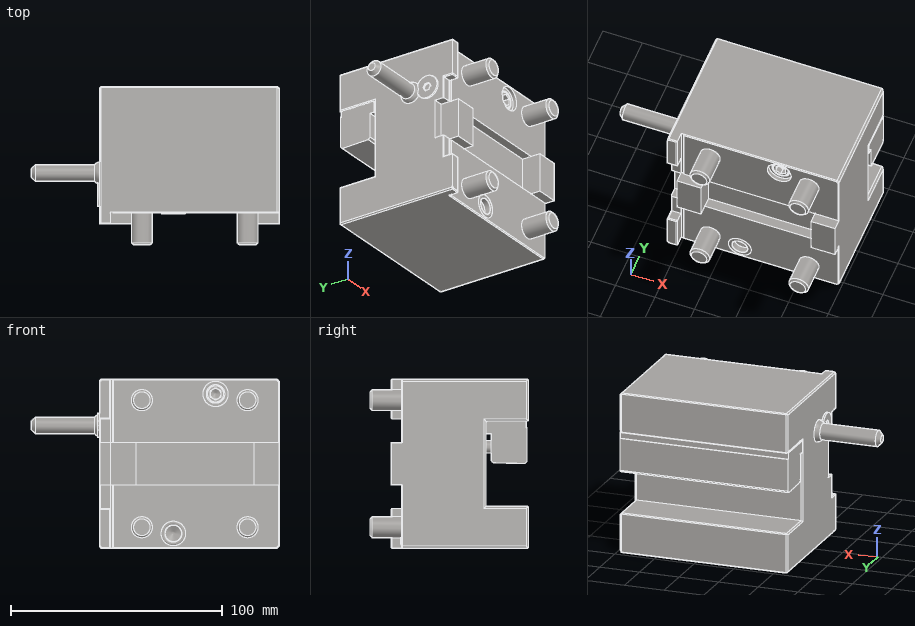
import cadquery as cq
import math


total_length = 117.3
body_length = 85.0
body_height = 80.0
body_depth = 65.0
plate_thick = 5.0
plate_step = 5.0
notch_height = 42.2
edge_break = 0.5
plate_chamfer = 0.7
end_chamfer = 1.0
relief_width = 1.0

key_width = 20.0
key_depth = 10.0
key_length = 12.1

slot_depth = 20.1
slot_height = 40.1
rail_rear_gap = 0.7
rail_floor_gap = 2.3
rail_top = slot_height / 2
rail_lip_height = 6.0
rail_rear_step = 0.4
rail_step_height = 3.0
rail_taper = 0.4
rail_corner = 1.0
stud_diameter = 6.0
stud_z = 8.0

pin_diameter = 10.0
pin_reach = 10.0
pin_chamfer = 1.0
pin_first_x = 20.0
pin_spacing_x = 50.0
pin_z = 30.0

shaft_diameter = 8.0
shaft_length = total_length - body_length
shaft_y = 24.0
shaft_z = 18.1
shaft_chamfer = 2.0
collar_diameter = 10.8
collar_length = 2.3
collar_bulge = 0.6
plug_diameter = 11.6
plug_y = 14.1
plug_thick = 0.9
plug_hex = 3.6
plug_hex_depth = 0.8

port_diameter = 12.0
port_z = 33.0
screw_x = 54.8
screw_recess = 2.0
screw_diameter = 8.8
screw_gap = 0.6
screw_gap_depth = 1.0
screw_hex = 5.0
screw_hex_depth = 3.0
screw_cone_depth = 1.4
seal_x = 34.8
seal_section = 1.0
seal_proud = 0.5
seal_hole_depth = 3.0
seal_cone_depth = 2.1

overlap = 1.2

full_turn = 360
hex_sides = 6
hex_turn = full_turn / hex_sides / 2
hex_corner_ratio = 2 / math.sqrt(3)


def block(x0, x1, y0, y1, z0, z1):
    size = (x1 - x0, y1 - y0, z1 - z0)
    return cq.Workplane("XY").box(*size, centered=False).translate((x0, y0, z0))


def rod_along_y(x, z, y0, y1, diameter):
    start = cq.Workplane("XZ", origin=(x, y0, z))
    return start.circle(diameter / 2).extrude(y0 - y1)


def rod_along_x(y, z, x0, x1, diameter):
    start = cq.Workplane("YZ", origin=(x0, y, z))
    return start.circle(diameter / 2).extrude(x1 - x0)


def section_outline(front_y):
    half_height = body_height / 2
    half_slot = slot_height / 2
    slot_floor = body_depth - slot_depth
    return [
        (front_y, -half_height),
        (body_depth, -half_height),
        (body_depth, -half_slot),
        (slot_floor, -half_slot),
        (slot_floor, half_slot),
        (body_depth, half_slot),
        (body_depth, half_height),
        (front_y, half_height),
    ]


def slotted_slab(x0, x1, front_y):
    slab = cq.Workplane("YZ", origin=(x0, 0, 0)).polyline(section_outline(front_y)).close()
    return slab.extrude(x1 - x0)


def break_rear_edges(slab):
    return slab.faces(">Y").edges("|X").chamfer(edge_break)


def make_end_plate():
    half_notch = notch_height / 2
    plate = slotted_slab(0, plate_thick, 0)
    plate = plate.faces("<X").edges("not(<Y)").chamfer(plate_chamfer)
    plate = break_rear_edges(plate)
    plate = plate.cut(block(0, plate_thick, 0, plate_step, -half_notch, half_notch))
    plate = plate.faces("<Y").edges("not(<X)").chamfer(edge_break)
    notch_edges = cq.selectors.BoxSelector(
        (-edge_break, edge_break, -half_notch - edge_break),
        (edge_break, plate_step + edge_break, half_notch + edge_break),
    )
    return plate.faces("<X").edges(notch_edges).chamfer(edge_break)


def make_body():
    block_start = plate_thick + relief_width
    relief_web = break_rear_edges(slotted_slab(plate_thick, block_start, plate_step + edge_break))
    main = slotted_slab(block_start, body_length, plate_step)
    main = main.faces(">X").edges("not(<Y)").chamfer(end_chamfer)
    main = break_rear_edges(main)
    main = main.faces("<Y").edges().chamfer(edge_break)
    key_slot = block(0, body_length, 0, key_depth, -key_width / 2, key_width / 2)
    return make_end_plate().union(relief_web).union(main).cut(key_slot)


def make_key(x0):
    return block(x0, x0 + key_length, 0, key_depth, -key_width / 2, key_width / 2)


def make_rail():
    floor = body_depth - slot_depth
    rear = body_depth - rail_rear_gap
    front = floor + rail_floor_gap
    lip_bottom = rail_top - rail_lip_height
    rail = (
        cq.Workplane("YZ")
        .moveTo(floor, rail_top - edge_break)
        .lineTo(floor + edge_break, rail_top)
        .lineTo(rear - rail_rear_step, rail_top)
        .lineTo(rear - rail_rear_step, rail_top - rail_step_height)
        .lineTo(rear, rail_top - rail_step_height)
        .lineTo(rear, rail_corner)
        .lineTo(rear - rail_corner, 0)
        .lineTo(front + rail_corner, rail_taper)
        .lineTo(front, rail_taper + rail_corner)
        .lineTo(front, lip_bottom)
        .lineTo(floor, lip_bottom)
        .close()
        .extrude(body_length)
    )
    stud = rod_along_y(body_length / 2, stud_z, floor - overlap, front + overlap, stud_diameter)
    return rail.union(stud)


def make_pin(x, z):
    pin = rod_along_y(x, z, -pin_reach, plate_step + overlap, pin_diameter)
    return pin.faces("<Y").chamfer(pin_chamfer)


def make_shaft():
    shaft = rod_along_x(shaft_y, shaft_z, -shaft_length, overlap, shaft_diameter)
    shaft = shaft.faces("<X").chamfer(shaft_chamfer)
    radius = collar_diameter / 2
    neck = shaft_diameter / 2
    collar = (
        cq.Workplane("XY", origin=(0, shaft_y, shaft_z))
        .moveTo(overlap, 0)
        .lineTo(-collar_length, 0)
        .lineTo(-collar_length, neck)
        .threePointArc((-collar_length * collar_bulge, neck + (radius - neck) * collar_bulge), (0, radius))
        .lineTo(overlap, radius)
        .close()
        .revolve(full_turn, (0, 0, 0), (1, 0, 0))
    )
    return shaft.union(collar)


def make_plug():
    plug = rod_along_x(plug_y, shaft_z, -plug_thick, overlap, plug_diameter)
    socket = cq.Workplane("YZ", origin=(-plug_thick, plug_y, shaft_z))
    socket = socket.polygon(hex_sides, plug_hex * hex_corner_ratio).extrude(plug_hex_depth)
    return plug.cut(socket)


def make_screw_recess():
    head_y = plate_step + screw_recess
    groove_y = head_y + screw_gap_depth
    recess = rod_along_y(screw_x, port_z, plate_step, head_y, port_diameter)
    groove = rod_along_y(screw_x, port_z, head_y, groove_y, screw_diameter)
    head = rod_along_y(screw_x, port_z, head_y, groove_y, screw_diameter - 2 * screw_gap)
    socket = (
        cq.Workplane("XZ", origin=(screw_x, head_y, port_z))
        .transformed(rotate=(0, 0, hex_turn))
        .polygon(hex_sides, screw_hex * hex_corner_ratio)
        .extrude(-screw_hex_depth)
    )
    socket_floor = head_y + screw_hex_depth
    cone = cq.Workplane(
        cq.Solid.makeCone(
            screw_hex / 2, 0, screw_cone_depth,
            cq.Vector(screw_x, socket_floor, port_z), cq.Vector(0, 1, 0),
        )
    )
    return recess.union(groove.cut(head)).union(socket).union(cone)


def make_seal_ring():
    ring_radius = port_diameter / 2 - seal_section
    ring_y = plate_step - seal_proud + seal_section
    ring = cq.Solid.makeTorus(
        ring_radius, seal_section, cq.Vector(seal_x, ring_y, -port_z), cq.Vector(0, 1, 0)
    )
    return cq.Workplane(ring)


def make_seal_hole():
    radius = port_diameter / 2 - 2 * seal_section
    floor = plate_step + seal_hole_depth
    top = plate_step - overlap
    return (
        cq.Workplane("XY", origin=(seal_x, 0, -port_z))
        .polyline([(0, top), (radius, top), (radius, floor), (0, floor + seal_cone_depth)])
        .close()
        .revolve(full_turn, (0, 0, 0), (0, 1, 0))
    )


result = make_body().union(make_key(plate_thick)).union(make_key(body_length - key_length))
result = result.union(make_rail()).union(make_shaft()).union(make_plug())
for pin_x in (pin_first_x, pin_first_x + pin_spacing_x):
    for side in (-1, 1):
        result = result.union(make_pin(pin_x, side * pin_z))
result = result.cut(make_screw_recess())
result = result.union(make_seal_ring()).cut(make_seal_hole())